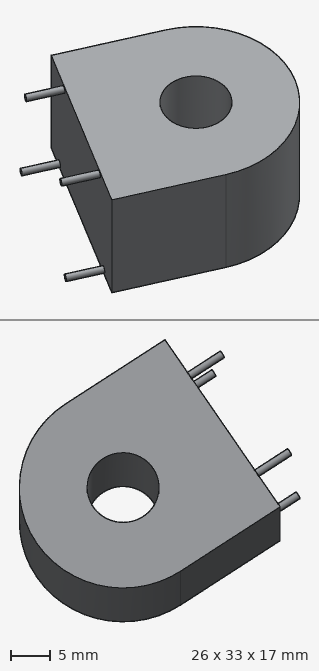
import cadquery as cq

total_length = 33.0
body_width = 26.0
body_height = 17.0

hole_diameter = 9.0

pin_diameter = 1.0
pin_length = 5.0
pin_row_spacing = 15.5
upper_pin_spacing = 15.18
lower_pin_spacing = 19.0

end_radius = body_width / 2
flat_end_y = end_radius - (total_length - pin_length)


def make_body():
    """Block with one fully rounded end and a hole through its height."""
    return (
        cq.Workplane("XY")
        .workplane(offset=-body_height / 2)
        .moveTo(-end_radius, flat_end_y)
        .lineTo(end_radius, flat_end_y)
        .lineTo(end_radius, 0)
        .threePointArc((0, end_radius), (-end_radius, 0))
        .close()
        .extrude(body_height)
        .cut(cq.Workplane("XY").circle(hole_diameter / 2).extrude(body_height, both=True))
    )


def make_pin_row(spacing, z):
    """Pair of pins at one height, pointing along -Y from the flat end."""
    return (
        cq.Workplane("XZ", origin=(0, flat_end_y, 0))
        .pushPoints([(-spacing / 2, z), (spacing / 2, z)])
        .circle(pin_diameter / 2)
        .extrude(pin_length)
    )


result = (
    make_body()
    .union(make_pin_row(upper_pin_spacing, pin_row_spacing / 2))
    .union(make_pin_row(lower_pin_spacing, -pin_row_spacing / 2))
)